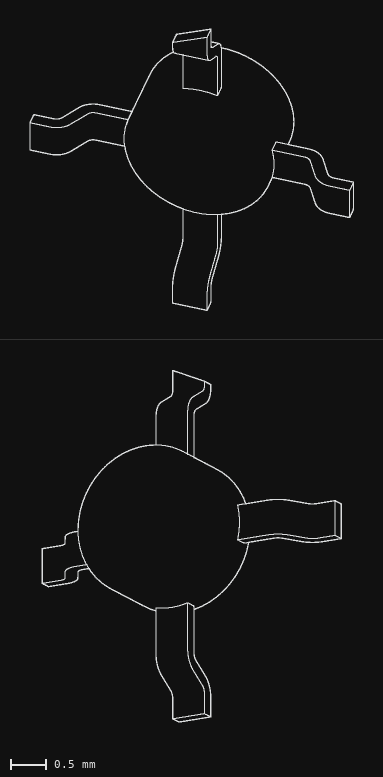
import cadquery as cq
import math

body_radius = 1.08
body_length = 1.27
body_edge_radius = 0.15
overall_depth = 1.52
body_front = overall_depth - body_length

lead_width = 0.51
lead_thickness = 0.185
lead_step = 0.48
foot_length = 0.295
bend_inner_radius = 0.115
bend_angle = 60.0
side_reach = 4.68 / 2
vertical_reach = 5.08 / 2
marked_tip_drop = 0.235

bend_radius = bend_inner_radius + lead_thickness / 2
bend_sine = math.sin(math.radians(bend_angle))
bend_cosine = math.cos(math.radians(bend_angle))
slope_length = (lead_step - 2 * bend_radius * (1 - bend_cosine)) / bend_sine
bend_span = 2 * bend_radius * bend_sine + slope_length * bend_cosine


def make_cylinder():
    """Sharp-edged cylinder that carries the body's outer surface."""
    return (
        cq.Workplane("XZ", origin=(0, body_front, 0))
        .circle(body_radius)
        .extrude(-body_length)
    )


def make_body():
    """Round body with both rims rounded."""
    return make_cylinder().edges().fillet(body_edge_radius)


def make_lead(reach):
    """Lead along +X, its inner end shaped to sit against the body."""
    foot_middle = lead_thickness / 2
    shank_middle = foot_middle + lead_step
    shank_end = reach - foot_length - bend_span
    centre_line = (
        cq.Workplane("XY")
        .moveTo(0, shank_middle)
        .lineTo(shank_end, shank_middle)
        .tangentArcPoint((bend_radius * bend_sine, -bend_radius * (1 - bend_cosine)))
        .line(slope_length * bend_cosine, -slope_length * bend_sine)
        .tangentArcPoint((bend_radius * bend_sine, -bend_radius * (1 - bend_cosine)))
        .lineTo(reach, foot_middle)
    )
    strip = (
        cq.Workplane("YZ", origin=(0, shank_middle, 0))
        .rect(lead_thickness, lead_width)
        .sweep(centre_line)
    )
    return strip.cut(make_cylinder())


def turn_lead(lead, angle):
    """Turn a lead about the body axis, from +X toward +Z."""
    return lead.rotate((0, 0, 0), (0, -1, 0), angle)


def slant_tip(lead):
    """Cut the upright lead's tip so that it falls away toward -X."""
    corner = (
        cq.Workplane("XZ")
        .moveTo(-lead_width / 2, vertical_reach)
        .lineTo(lead_width / 2, vertical_reach)
        .lineTo(-lead_width / 2, vertical_reach - marked_tip_drop)
        .close()
        .extrude(-lead_thickness)
    )
    return lead.cut(corner)


body = make_body()

plain_leads = []
for reach, angle in ((side_reach, 0), (side_reach, 180), (vertical_reach, 270)):
    plain_leads.append(turn_lead(make_lead(reach), angle))

marked_lead = slant_tip(turn_lead(make_lead(vertical_reach), 90))

result = cq.Compound.makeCompound(
    [body.val(), *[lead.val() for lead in plain_leads], marked_lead.val()]
)